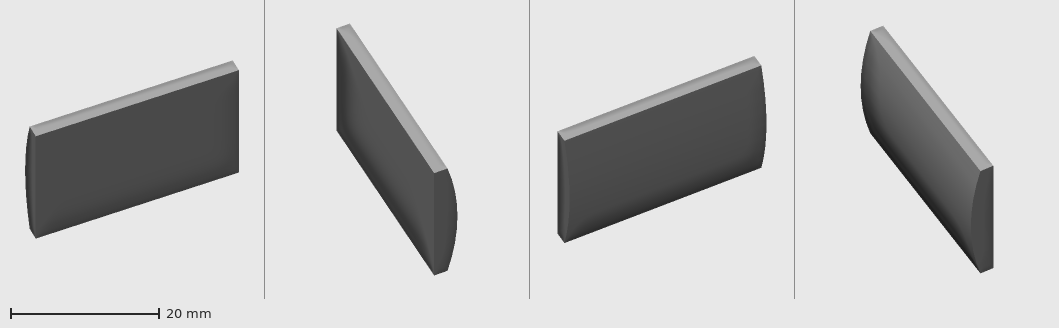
import cadquery as cq
import math

length = 30.0
height = 20.0
edge_thickness = 2.0
convex_radius = 34.3

half_height = height / 2
sag = convex_radius - math.sqrt(convex_radius**2 - half_height**2)
center_thickness = edge_thickness + sag


def lens_profile():
    """Cross-section in XZ, with the crest of the convex face at X = 0."""
    return (
        cq.Workplane("XZ")
        .moveTo(sag, -half_height)
        .lineTo(center_thickness, -half_height)
        .lineTo(center_thickness, half_height)
        .lineTo(sag, half_height)
        .threePointArc((0, 0), (sag, -half_height))
        .close()
    )


result = lens_profile().extrude(length / 2, both=True)